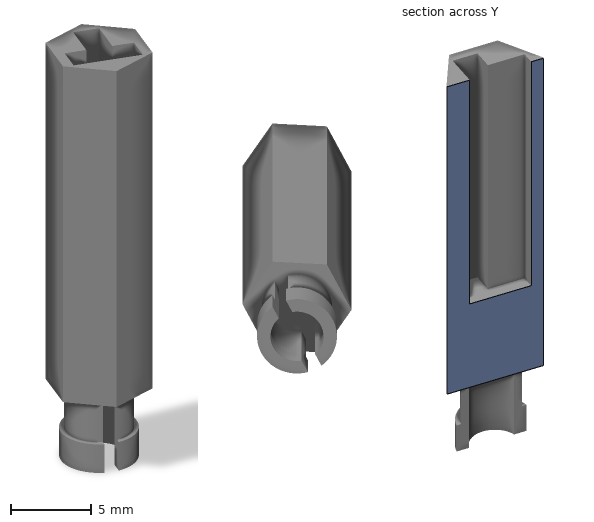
import cadquery as cq
import math

total_length = 28.5
flange_height = 2.0
neck_height = 3.0
body_bottom = flange_height + neck_height
body_height = total_length - body_bottom

across_flats = 5.9
across_corners = across_flats / math.cos(math.pi / 6)

flange_diameter = 5.0
neck_diameter = 4.4
bore_diameter = 3.3
slot_width = 0.95

crossbar_right = 1.8
crossbar_left = 0.05
crossbar_length = 4.55
stem_left = -2.5
stem_width = 1.7
socket_depth = 17.1


def make_body():
    return (
        cq.Workplane("XY")
        .workplane(offset=body_bottom)
        .polygon(6, across_corners)
        .extrude(body_height)
    )


def make_plug():
    flange = cq.Workplane("XY").circle(flange_diameter / 2).extrude(flange_height)
    neck = cq.Workplane("XY").circle(neck_diameter / 2).extrude(body_bottom)
    bore = cq.Workplane("XY").circle(bore_diameter / 2).extrude(body_bottom)
    slot = cq.Workplane("XY").box(
        flange_diameter, slot_width, body_bottom, centered=(True, True, False)
    )
    return flange.union(neck).cut(bore).cut(slot)


def socket_bar(left, right, width):
    return (
        cq.Workplane("XY")
        .workplane(offset=total_length - socket_depth)
        .center((left + right) / 2, 0)
        .rect(right - left, width)
        .extrude(socket_depth)
    )


def make_socket():
    crossbar = socket_bar(crossbar_left, crossbar_right, crossbar_length)
    stem = socket_bar(stem_left, crossbar_right, stem_width)
    return crossbar.union(stem)


result = make_body().union(make_plug()).cut(make_socket())